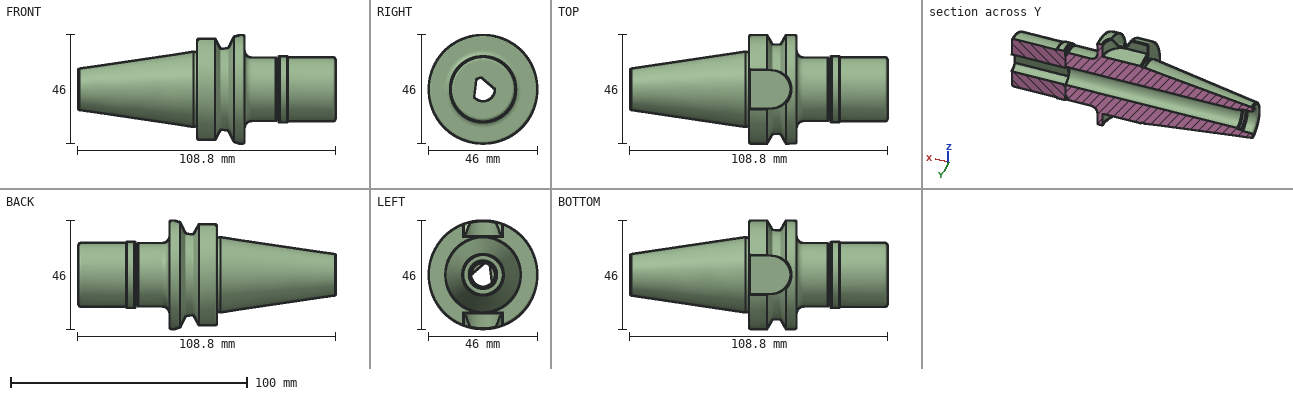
import cadquery as cq
import math

total_length = 108.8

tolerance = 0.01

taper_small_radius = 8.8
taper_large_radius = 16.0
taper_length = 48.7
taper_edge_round = 0.4
relief_chamfer_end = 49.5
relief_radius = 15.8

flange_diameter = 46.0
flange_radius = flange_diameter / 2
flange_start = 50.2
flange_end = 70.3
flange_edge_round = 1.0
groove_start = 57.8
groove_end = 65.8
groove_bottom_radius = 18.9
groove_half_angle = 30.0
groove_corner_round = 0.5
groove_run = (flange_radius - groove_bottom_radius) * math.tan(math.radians(groove_half_angle))

neck_radius = 13.5
neck_fillet = 2.9
neck_end = 83.8
neck_end_chamfer = 0.4
undercut_start_radius = 12.4
undercut_end_radius = 11.3
joint_x = 84.5

keyway_half_width = 8.0
keyway_floor = 16.3
keyway_end = 67.7
keyway_arc_center = keyway_end - keyway_half_width
keyway_edge_break = 0.4

mouth_radius = 6.0
mouth_round = 1.0
mouth_depth = 4.6
lead_in_radius = 5.4
lead_in_depth = 5.3
lead_in_end = 6.5
bore_radius = 5.0
bore_start = 7.0

sleeve_radius = 13.6
collar_radius = 14.0
collar_end = 88.2
collar_chamfer_length = 0.7
collar_chamfer_height = 0.2
collar_step_length = 0.3
sleeve_end_round = 1.4
flat_distance = 3.3
flat_angles = (83.3, -40.8)


def revolve_about_x(profile):
    return profile.close().revolve(360, (0, 0, 0), (1, 0, 0))


def holder_blank():
    """Solid of revolution: taper, grooved flange and neck."""
    profile = (
        cq.Workplane("XY")
        .lineTo(0, taper_small_radius - taper_edge_round)
        .lineTo(taper_edge_round, taper_small_radius)
        .lineTo(taper_length, taper_large_radius)
        .lineTo(relief_chamfer_end, relief_radius)
        .lineTo(flange_start, relief_radius)
        .lineTo(flange_start, flange_radius - flange_edge_round)
        .radiusArc((flange_start + flange_edge_round, flange_radius), flange_edge_round)
        .lineTo(groove_start, flange_radius)
        .lineTo(groove_start + groove_run, groove_bottom_radius)
        .lineTo(groove_end - groove_run, groove_bottom_radius)
        .lineTo(groove_end, flange_radius)
        .lineTo(flange_end - flange_edge_round, flange_radius)
        .radiusArc((flange_end, flange_radius - flange_edge_round), flange_edge_round)
        .lineTo(flange_end, neck_radius + neck_fillet)
        .radiusArc((flange_end + neck_fillet, neck_radius), -neck_fillet)
        .lineTo(neck_end - neck_end_chamfer, neck_radius)
        .lineTo(neck_end, neck_radius - neck_end_chamfer)
        .lineTo(neck_end, undercut_start_radius)
        .lineTo(joint_x, undercut_end_radius)
        .lineTo(joint_x, 0)
    )
    return revolve_about_x(profile)


def holder_bore():
    profile = (
        cq.Workplane("XY")
        .lineTo(0, mouth_radius + mouth_round)
        .radiusArc((mouth_round, mouth_radius), -mouth_round)
        .lineTo(mouth_depth, mouth_radius)
        .lineTo(lead_in_depth, lead_in_radius)
        .lineTo(lead_in_end, lead_in_radius)
        .lineTo(bore_start, bore_radius)
        .lineTo(joint_x, bore_radius)
        .lineTo(joint_x, 0)
    )
    return revolve_about_x(profile)


def keyway():
    """Round-ended slot, open toward the taper, cut down to the keyway floor."""
    return (
        cq.Workplane("XY", origin=(0, 0, keyway_floor))
        .moveTo(flange_start, -keyway_half_width)
        .lineTo(keyway_arc_center, -keyway_half_width)
        .threePointArc((keyway_end, 0), (keyway_arc_center, keyway_half_width))
        .lineTo(flange_start, keyway_half_width)
        .close()
        .extrude(flange_radius - keyway_floor)
    )


def is_keyway_rim(edge):
    """True for keyway edges on the flange's front face, front round and outer cylinder."""
    middle = edge.positionAt(0.5)
    in_keyway = (
        abs(middle.y) < keyway_half_width + tolerance
        and abs(middle.z) > keyway_floor - tolerance
    )
    on_front = edge.BoundingBox().xmax < flange_start + flange_edge_round + tolerance
    on_outside = abs(math.hypot(middle.y, middle.z) - flange_radius) < tolerance
    return in_keyway and (on_front or on_outside)


def is_groove_corner(edge):
    return edge.geomType() == "CIRCLE" and abs(edge.radius() - groove_bottom_radius) < tolerance


def make_holder():
    holder = holder_blank()
    holder = holder.edges().filter(is_groove_corner).fillet(groove_corner_round)
    holder = holder.cut(holder_bore())
    for angle in (0, 180):
        holder = holder.cut(keyway().rotate((0, 0, 0), (1, 0, 0), angle))
    return holder.edges().filter(is_keyway_rim).chamfer(keyway_edge_break)


def sleeve_bore():
    """Round bore narrowed by two flats."""
    length = total_length - joint_x
    bore = cq.Workplane("YZ", origin=(joint_x, 0, 0)).circle(bore_radius).extrude(length)
    for angle in flat_angles:
        beyond_flat = (
            cq.Workplane("XY")
            .box(length, 2 * bore_radius, bore_radius, centered=(False, True, False))
            .translate((joint_x, 0, flat_distance))
            .rotate((0, 0, 0), (1, 0, 0), angle)
        )
        bore = bore.cut(beyond_flat)
    return bore


def make_sleeve():
    profile = (
        cq.Workplane("XY")
        .moveTo(joint_x, 0)
        .lineTo(joint_x, collar_radius - collar_chamfer_height)
        .lineTo(joint_x + collar_chamfer_length, collar_radius)
        .lineTo(collar_end, collar_radius)
        .lineTo(collar_end + collar_step_length, sleeve_radius)
        .lineTo(total_length - sleeve_end_round, sleeve_radius)
        .radiusArc((total_length, sleeve_radius - sleeve_end_round), sleeve_end_round)
        .lineTo(total_length, 0)
    )
    return revolve_about_x(profile).cut(sleeve_bore())


holder = make_holder()
sleeve = make_sleeve()
result = cq.Compound.makeCompound([holder.val(), sleeve.val()])